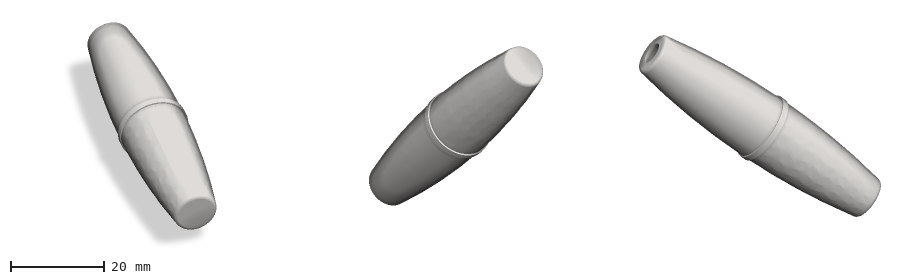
import cadquery as cq

LENGTH = 60.25
COLLAR_DIAMETER = 15.5
COLLAR_START = 0.12
COLLAR_WIDTH = 1.38
BARREL_DIAMETER = 14.8
END_DIAMETER = 9.4
END_FILLET = 0.8
BORE_DIAMETER = 4.8
BORE_DEPTH = 20.0
PANEL_START = 5.3
PANEL_LENGTH = 20.3
PANEL_WIDTH = 5.1

HALF_LENGTH = LENGTH / 2


def make_barrel():
    """Barrel of revolution with an arched side and rounded end rims."""
    end_radius = END_DIAMETER / 2
    profile = (
        cq.Workplane("XY")
        .moveTo(-HALF_LENGTH, 0)
        .lineTo(-HALF_LENGTH, end_radius)
        .threePointArc((0, BARREL_DIAMETER / 2), (HALF_LENGTH, end_radius))
        .lineTo(HALF_LENGTH, 0)
        .close()
    )
    barrel = profile.revolve(360, (0, 0, 0), (1, 0, 0))
    return barrel.faces("<X or >X").edges().fillet(END_FILLET)


def make_collar():
    """Raised band around the barrel, just on the +X side of mid-length."""
    return (
        cq.Workplane("YZ", origin=(COLLAR_START, 0, 0))
        .circle(COLLAR_DIAMETER / 2)
        .extrude(COLLAR_WIDTH)
    )


def make_bore():
    """Blind hole entering from the -X end."""
    return (
        cq.Workplane("YZ", origin=(-HALF_LENGTH, 0, 0))
        .circle(BORE_DIAMETER / 2)
        .extrude(BORE_DEPTH)
    )


def add_label_panel(body):
    """Outline a rectangular panel as its own face, flush with the top of the barrel."""
    cutter = cq.Workplane("XY").box(
        PANEL_LENGTH, PANEL_WIDTH, BARREL_DIAMETER, centered=(False, True, False)
    )
    cutter = cutter.translate((PANEL_START, 0, 0))
    panel = body.intersect(cutter)
    return body.cut(cutter).union(panel, clean=False)


body = make_barrel().union(make_collar()).cut(make_bore())
result = add_label_panel(body).solids()